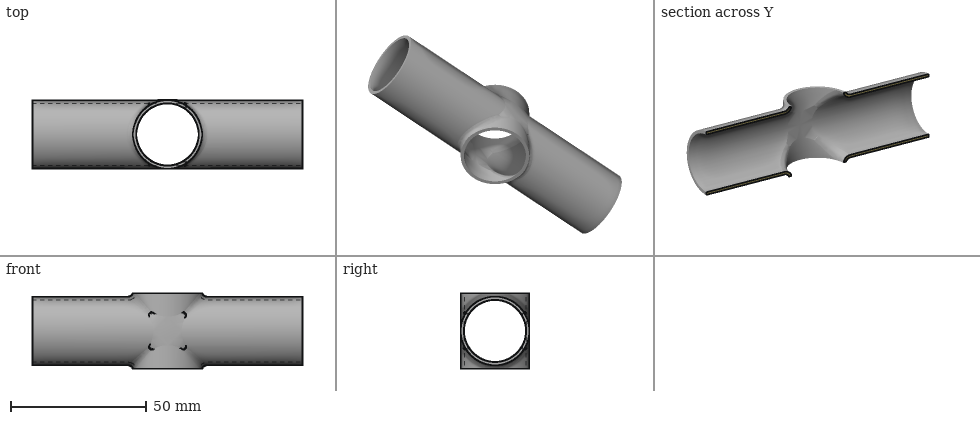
import cadquery as cq
import math

run_length = 100.0
branch_length = 28.0
outer_diameter = 25.4
bore_diameter = 22.9
seam_radius = 2.0
seam_end_angle = 61.5
patch_half_width = 5.3
wedge_start = 0.3
wedge_end = 2.0
patch_bulge = 0.06
patch_depth = 2.0
join_tolerance = 1e-4
edge_points = 7

spine_radius = outer_diameter / 2 + seam_radius
end_angle = math.radians(seam_end_angle)

ORIGIN = (0, 0, 0)
Y_AXIS = (0, 1, 0)


def about_y(shape, angle):
    return shape.rotate(cq.Vector(*ORIGIN), cq.Vector(*Y_AXIS), angle)


def crossed_cylinders(radius):
    run = cq.Workplane("YZ").circle(radius).extrude(run_length / 2, both=True)
    branch = cq.Workplane("XY").circle(radius).extrude(branch_length / 2, both=True)
    return run.union(branch)


def seam_wedge(radius):
    """Truncated wedge from near the Y axis out past the seam, in the corner between +X and -Z."""
    return (
        cq.Workplane("XZ")
        .polyline([(wedge_start * spine_radius, -wedge_start * radius),
                   (wedge_end * spine_radius, -wedge_end * radius),
                   (wedge_end * radius, -wedge_end * spine_radius),
                   (wedge_start * radius, -wedge_start * spine_radius)])
        .close()
        .extrude(radius * math.sin(end_angle), both=True)
    )


def filleted_wedge(radius):
    """Seam wedge trimmed to a concave fillet between the cylinders."""
    spine = cq.Workplane("XY").ellipse(spine_radius * math.sqrt(2), spine_radius)
    within_spine = spine.extrude(spine_radius, both=True).rotate(ORIGIN, Y_AXIS, 45)
    rolling_ball = (
        cq.Workplane("XZ")
        .center(spine_radius * math.sqrt(2), 0)
        .circle(spine_radius - radius)
        .sweep(spine)
        .rotate(ORIGIN, Y_AXIS, 45)
    )
    return seam_wedge(radius).intersect(within_spine).cut(rolling_ball)


def patch_edge(radius):
    """Bowed patch edge lying on the branch cylinder."""
    half_span = radius * math.cos(end_angle)
    corner_reach = spine_radius * math.cos(end_angle)
    points = []
    for index in range(edge_points):
        across = half_span * (2 * index / (edge_points - 1) - 1)
        bow = (corner_reach - patch_half_width) * (across / half_span) ** 2
        height = math.sqrt(radius**2 - across**2)
        points.append(cq.Vector(across, height, patch_half_width + bow))
    return cq.Edge.makeSpline(points)


def side_patch(radius):
    """Smooth four-armed patch where the fillets meet on the +Y side."""
    bowed_edge = patch_edge(radius)
    near = radius * math.cos(end_angle)
    far = spine_radius * math.cos(end_angle)
    height = radius * math.sin(end_angle)
    corner_edge = cq.Edge.makeLine(cq.Vector(near, height, far), cq.Vector(far, height, near))
    edges = []
    for angle in (0, 90, 180, 270):
        edges.append(about_y(bowed_edge, angle))
        edges.append(about_y(corner_edge, angle))
    centre = cq.Vector(0, radius + patch_bulge, 0)
    face = cq.Face.makeNSidedSurface(edges, [centre])
    return cq.Workplane(obj=cq.Solid.extrudeLinear(face, cq.Vector(0, -patch_depth, 0)))


def blended_cross(radius):
    """Solid crossed cylinders with filleted seams and a patch on each side."""
    cross = crossed_cylinders(radius)
    wedge = seam_wedge(radius)
    fillet = filleted_wedge(radius)
    for angle in (0, 90, 180, 270):
        cross = cross.cut(wedge.rotate(ORIGIN, Y_AXIS, angle))
    for angle in (0, 90, 180, 270):
        cross = cross.union(fillet.rotate(ORIGIN, Y_AXIS, angle), tol=join_tolerance)
    patch = side_patch(radius)
    return cross.union(patch, tol=join_tolerance).union(patch.mirror("XZ"), tol=join_tolerance)


envelope_width = 2 * outer_diameter
envelope = cq.Workplane("XY").box(run_length, envelope_width, branch_length)

outside = blended_cross(outer_diameter / 2).intersect(envelope)
inside = blended_cross(bore_diameter / 2)

result = outside.cut(inside)